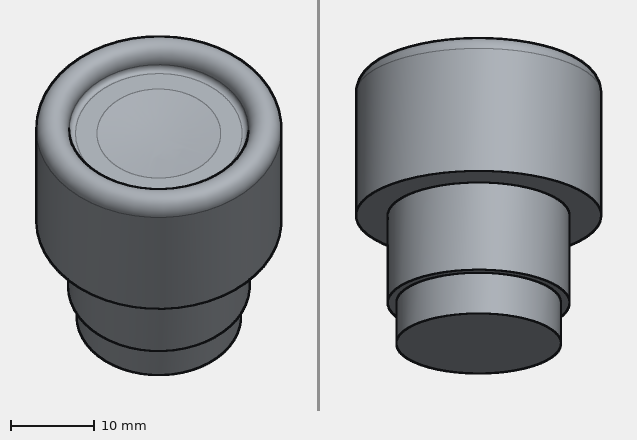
import cadquery as cq

total_height = 34.3
foot_top = 5.25
neck_top = 16.5

foot_radius = 9.9
neck_radius = 10.95
head_radius = 14.75

rim_round = 2.0
rim_base = total_height - rim_round
rim_center_radius = head_radius - rim_round

corner_round = 0.75
recess_radius = rim_center_radius - rim_round
floor_radius = recess_radius - corner_round
floor_height = rim_base - corner_round
dish_radius = 7.45
dish_depth = 0.55

dish_bottom = floor_height - dish_depth
sphere_radius = (dish_radius**2 + dish_depth**2) / (2 * dish_depth)

result = (
    cq.Workplane("XZ")
    .lineTo(foot_radius, 0)
    .lineTo(foot_radius, foot_top)
    .lineTo(neck_radius, foot_top)
    .lineTo(neck_radius, neck_top)
    .lineTo(head_radius, neck_top)
    .lineTo(head_radius, rim_base)
    .threePointArc((rim_center_radius, total_height), (recess_radius, rim_base))
    .radiusArc((floor_radius, floor_height), corner_round)
    .lineTo(dish_radius, floor_height)
    .radiusArc((0, dish_bottom), sphere_radius)
    .close()
    .revolve(360, (0, 0, 0), (0, 1, 0))
)